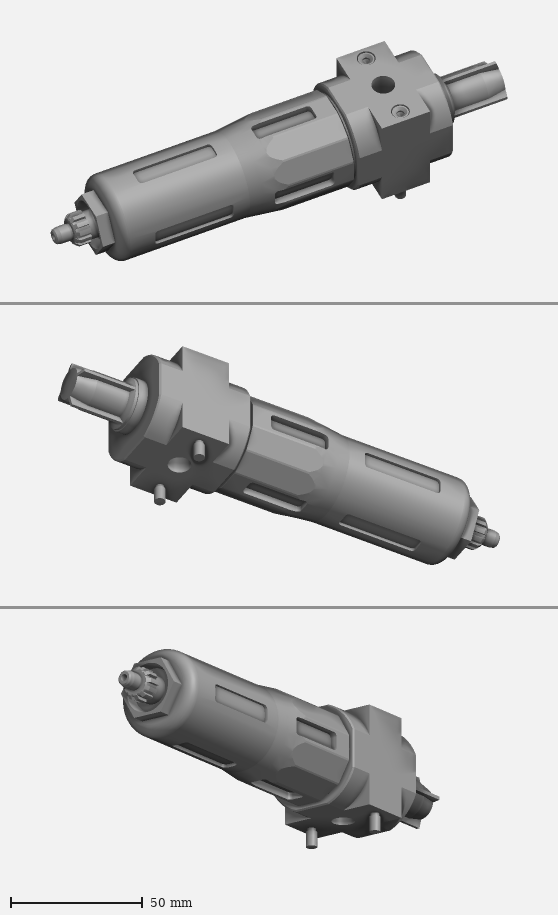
import cadquery as cq
import math

overall_length = 188.0
knob_top_y = 49.0
nozzle_tip_y = knob_top_y - overall_length

block_width = 40.0
block_front_y = -block_width / 2
block_back_y = block_width / 2
block_end_radius = 21.5
block_square_length = 20.3
block_end_chamfer = 0.5
lip_radius = 17.9
lip_front_y = -20.7
port_diameter = 9.0

collar_radius = 10.9
collar_end_y = 23.9
knob_flare_radius = 10.3
knob_flare_start_y = 25.0
knob_flare_end_y = 26.5
knob_diameter = 16.0
knob_taper_start_y = 40.6
knob_tip_diameter = 12.6
fin_count = 4
fin_thickness = 1.3
fin_outer_radius = 10.2
fin_dome_drop = 1.7

screw_offset = 15.0
screw_shank_diameter = 3.4
screw_tip_diameter = 4.3
screw_tip_length = 6.0
screw_protrusion = 7.3
screw_head_diameter = 6.4
screw_head_height = 5.6
screw_head_sink = 0.4
counterbore_diameter = 7.1
socket_mouth_diameter = 5.3
socket_bevel_depth = 1.0
socket_diameter = 3.0
socket_depth = 1.7
socket_point_depth = 1.0

neck_radius = 17.0
grip_start_y = -21.5
grip_radius = 19.4
grip_end_y = -48.9
facet_count = 12
facet_distance = 18.8
barrel_radius = 17.5
barrel_start_y = -64.5
barrel_end_y = -119.0
barrel_end_fillet = 4.1
window_count = 4
window_width = 7.1
window_corner_radius = 1.5
window_floor_radius = 16.2
grip_window_ends = (-54.5, -29.3)
barrel_window_ends = (-104.3, -71.3)

hex_side_count = 6
hex_across_flats = 21.8
hex_end_y = -124.0
hex_recess_mouth_radius = 9.8
hex_recess_floor_radius = 8.6
hex_recess_depth = 3.8
drain_neck_radius = 5.6
wheel_start_y = -125.8
wheel_chamfer_y = -130.5
wheel_end_y = -132.0
wheel_radius = 6.5
wheel_end_radius = 5.3
wheel_root_radius = 5.5
wheel_root_chamfer = 0.5
wheel_tooth_count = 12
wheel_tooth_width = 1.7
nozzle_step_y = -133.0
nozzle_taper_y = -136.7
nozzle_neck_radius = 3.2
nozzle_radius = 3.4
nozzle_taper_radius = 3.0
nozzle_tip_chamfer = 0.5
nozzle_bore_diameter = 2.8
nozzle_bore_depth = 3.8


def turned(profile):
    """Solid of revolution about the Y axis from (radius, y) points, closed along the axis."""
    points = [(0, profile[0][1])] + profile + [(0, profile[-1][1])]
    return cq.Workplane("XY").polyline(points).close().revolve(360, (0, 0, 0), (0, 1, 0))


def y_cylinder(radius, start_y, end_y):
    return turned([(radius, start_y), (radius, end_y)])


def y_prism(side_count, across_flats, start_y, end_y, turn):
    """Regular prism along Y; turn rotates it about the Y axis, in degrees."""
    across_corners = across_flats / math.cos(math.pi / side_count)
    prism = cq.Workplane("XZ").polygon(side_count, across_corners).extrude(start_y - end_y)
    return prism.translate((0, start_y, 0)).rotate((0, 0, 0), (0, 1, 0), turn)


def around_y(shape, count):
    """Copies of a shape spread evenly around the Y axis."""
    return [shape.rotate((0, 0, 0), (0, 1, 0), i * 360 / count) for i in range(count)]


def z_cylinder(x, diameter, bottom_z, top_z):
    return cq.Workplane("XY", origin=(x, 0, bottom_z)).circle(diameter / 2).extrude(top_z - bottom_z)


def make_block():
    square_part = cq.Workplane("XY").box(block_width, block_square_length, block_width)
    full_box = cq.Workplane("XY").box(block_width, block_width, block_width)
    round_part = y_cylinder(block_end_radius, block_front_y, block_back_y).intersect(full_box)
    round_part = round_part.faces("<Y or >Y").chamfer(block_end_chamfer)
    lip = y_cylinder(lip_radius, lip_front_y, block_front_y)
    return round_part.union(square_part).union(lip)


def make_knob():
    knob_radius = knob_diameter / 2
    knob = turned([
        (collar_radius, block_back_y),
        (collar_radius, collar_end_y),
        (knob_flare_radius, collar_end_y),
        (knob_flare_radius, knob_flare_start_y),
        (knob_radius, knob_flare_end_y),
        (knob_radius, knob_taper_start_y),
        (knob_tip_diameter / 2, knob_top_y),
    ])
    fin_length = knob_top_y - collar_end_y
    fin = cq.Workplane("XY").box(fin_outer_radius, fin_length, fin_thickness, centered=(False, False, True))
    fin = fin.translate((0, collar_end_y, 0))
    for fin_copy in around_y(fin, fin_count):
        knob = knob.union(fin_copy)
    dome_radius = (fin_outer_radius**2 + fin_dome_drop**2) / (2 * fin_dome_drop)
    dome = cq.Workplane("XY").sphere(dome_radius).translate((0, knob_top_y - dome_radius, 0))
    return knob.intersect(dome)


def make_housing():
    top_z = block_width / 2
    housing = make_block().union(make_knob())
    housing = housing.cut(z_cylinder(0, port_diameter, -top_z, top_z))
    seat_z = top_z - screw_head_sink - screw_head_height
    for x in (-screw_offset, screw_offset):
        housing = housing.cut(z_cylinder(x, screw_shank_diameter, -top_z, top_z))
        housing = housing.cut(z_cylinder(x, counterbore_diameter, seat_z, top_z))
    return housing


def make_screw(x):
    head_top_z = block_width / 2 - screw_head_sink
    seat_z = head_top_z - screw_head_height
    tip_z = -block_width / 2 - screw_protrusion
    bevel_z = head_top_z - socket_bevel_depth
    socket_floor_z = head_top_z - socket_depth
    outline = [
        (0, tip_z),
        (screw_tip_diameter / 2, tip_z),
        (screw_tip_diameter / 2, tip_z + screw_tip_length),
        (screw_shank_diameter / 2, tip_z + screw_tip_length),
        (screw_shank_diameter / 2, seat_z),
        (screw_head_diameter / 2, seat_z),
        (screw_head_diameter / 2, head_top_z),
        (socket_mouth_diameter / 2, head_top_z),
        (socket_diameter / 2, bevel_z),
        (socket_diameter / 2, socket_floor_z),
        (0, socket_floor_z - socket_point_depth),
    ]
    screw = cq.Workplane("XZ").polyline(outline).close().revolve(360, (0, 0, 0), (0, 1, 0))
    return screw.translate((x, 0, 0))


def make_window_cutters(window_ends):
    """Rounded slots around the bowl, each ending on a cylindrical floor."""
    start_y, end_y = window_ends
    slot = cq.Workplane("XY").box(window_width, end_y - start_y, block_width, centered=(True, False, False))
    slot = slot.edges("|Z").fillet(window_corner_radius).translate((0, start_y, 0))
    slot = slot.cut(y_cylinder(window_floor_radius, start_y, end_y))
    return around_y(slot, window_count)


def make_bowl_shell():
    grip = turned([
        (barrel_radius, barrel_start_y),
        (grip_radius, grip_end_y),
        (grip_radius, grip_start_y),
    ])
    facet_turn = 180 / facet_count
    grip = grip.intersect(y_prism(facet_count, 2 * facet_distance, grip_start_y, barrel_start_y, facet_turn))
    barrel = y_cylinder(barrel_radius, barrel_end_y, barrel_start_y)
    barrel = barrel.faces("<Y").edges().fillet(barrel_end_fillet)
    neck = y_cylinder(neck_radius, grip_start_y, lip_front_y)
    shell = grip.union(barrel).union(neck)
    for window_ends in (grip_window_ends, barrel_window_ends):
        for cutter in make_window_cutters(window_ends):
            shell = shell.cut(cutter)
    return shell


def make_drain_hexagon():
    hexagon = y_prism(hex_side_count, hex_across_flats, barrel_end_y, hex_end_y, 0)
    recess = turned([
        (hex_recess_mouth_radius, hex_end_y),
        (hex_recess_floor_radius, hex_end_y + hex_recess_depth),
    ])
    return hexagon.cut(recess)


def make_drain():
    drain = turned([
        (nozzle_taper_radius - nozzle_tip_chamfer, nozzle_tip_y),
        (nozzle_taper_radius, nozzle_tip_y + nozzle_tip_chamfer),
        (nozzle_radius, nozzle_taper_y),
        (nozzle_radius, nozzle_step_y),
        (nozzle_neck_radius, nozzle_step_y),
        (nozzle_neck_radius, wheel_end_y),
        (wheel_root_radius - wheel_root_chamfer, wheel_end_y),
        (wheel_root_radius, wheel_end_y + wheel_root_chamfer),
        (wheel_root_radius, wheel_start_y),
        (drain_neck_radius, wheel_start_y),
        (drain_neck_radius, barrel_end_y),
    ])
    wheel_blank = turned([
        (wheel_end_radius, wheel_end_y),
        (wheel_radius, wheel_chamfer_y),
        (wheel_radius, wheel_start_y),
    ])
    tooth_length = wheel_start_y - wheel_end_y
    tooth = cq.Workplane("XY").box(
        wheel_radius, tooth_length, wheel_tooth_width, centered=(False, False, True)
    )
    tooth = tooth.translate((0, wheel_end_y, 0)).intersect(wheel_blank)
    for tooth_copy in around_y(tooth, wheel_tooth_count):
        drain = drain.union(tooth_copy)
    return drain.cut(y_cylinder(nozzle_bore_diameter / 2, nozzle_tip_y, nozzle_tip_y + nozzle_bore_depth))


def make_bowl():
    return make_bowl_shell().union(make_drain_hexagon()).union(make_drain())


housing = make_housing()
bowl = make_bowl()
screws = [make_screw(x) for x in (-screw_offset, screw_offset)]

result = cq.Compound.makeCompound([housing.val(), bowl.val(), *[screw.val() for screw in screws]])